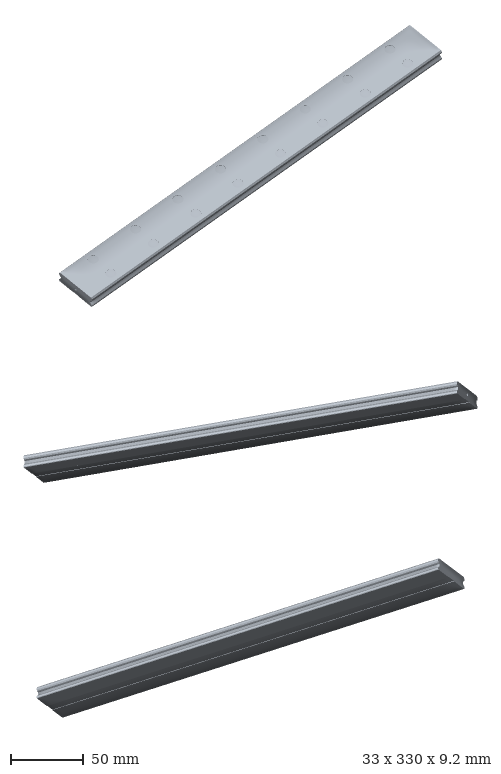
import cadquery as cq
width = 33.0
length = 330.0
height = 9.2
half_width = width / 2

bottom_chamfer = 0.4
top_bevel_width = 0.6
top_bevel_height = 0.8
shoulder_chamfer = 0.3

groove_depth = 1.85
floor_bottom = 3.3
floor_top = 5.3
lower_wall_height = 1.25
lower_lip_width = 0.4
lower_lip_height = 0.45
upper_wall_height = 0.5
upper_lip_width = 0.6
upper_lip_height = 0.92

relief_width = 6.5
relief_depth = 0.3

seat_diameter = 7.5
seat_depth = 0.15
seat_spacing = 17.8
seats_per_row = 8
seat_end_margin = 25.0
seat_pitch = (length - 2 * seat_end_margin) / (seats_per_row - 1)

end_hole_diameter = 2.3
end_hole_depth = 10.0
end_hole_height = 5.0


def make_rail():
    """Extrude the grooved section along Y, centred on the origin in X and Y."""
    groove_floor = half_width - groove_depth
    lower_wall_bottom = floor_bottom - lower_wall_height
    upper_wall_top = floor_top + upper_wall_height
    top_bevel_start = half_width - shoulder_chamfer
    top_bevel_bottom = height - top_bevel_height

    right_side = [
        (half_width - bottom_chamfer, 0),
        (half_width, bottom_chamfer),
        (half_width, lower_wall_bottom - lower_lip_height),
        (half_width - lower_lip_width, lower_wall_bottom),
        (groove_floor, floor_bottom),
        (groove_floor, floor_top),
        (half_width - upper_lip_width, upper_wall_top),
        (half_width, upper_wall_top + upper_lip_height),
        (half_width, top_bevel_bottom - shoulder_chamfer),
        (top_bevel_start, top_bevel_bottom),
        (top_bevel_start - top_bevel_width, height),
    ]
    left_side = [(-x, z) for x, z in reversed(right_side)]
    section = cq.Workplane("XZ").polyline(right_side + left_side).close()
    return section.extrude(length / 2, both=True)


def make_relief():
    """Full-length shallow channel along the middle of the underside."""
    return cq.Workplane("XY").rect(relief_width, length).extrude(relief_depth)


def make_seats():
    """Two rows of shallow round seats, sunk into the top face."""
    return (
        cq.Workplane("XY", origin=(0, 0, height))
        .rarray(seat_spacing, seat_pitch, 2, seats_per_row)
        .circle(seat_diameter / 2)
        .extrude(-seat_depth)
    )


def make_end_hole():
    """Blind hole running inward from the -Y end face."""
    return (
        cq.Workplane("XZ", origin=(0, -length / 2, end_hole_height))
        .circle(end_hole_diameter / 2)
        .extrude(-end_hole_depth)
    )


result = make_rail().cut(make_relief()).cut(make_seats()).cut(make_end_hole())